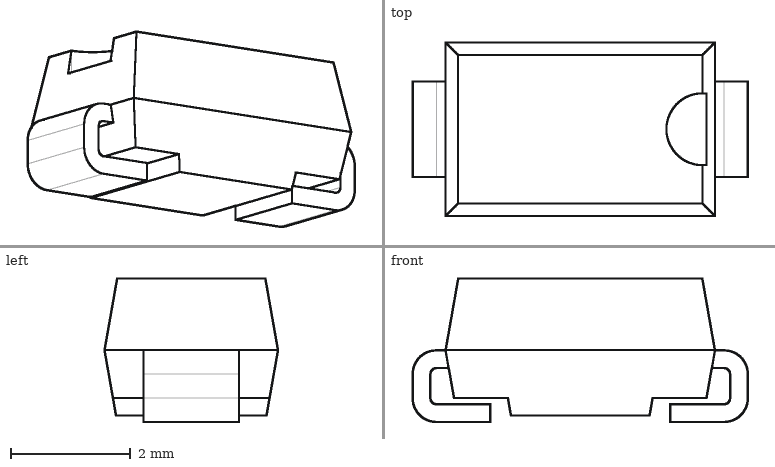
import math
import cadquery as cq

parting_height = 1.2
top_height = 2.4
shoulder_height = 0.4
pedestal_bottom = 0.11
draft_angle = 10.0

body_length = 4.5
body_width = 2.9
pedestal_length = 2.42

lead_span = 5.6
lead_width = 1.6
lead_thickness = 0.3
lead_outer_radius = 0.4
lead_inner_radius = lead_outer_radius - lead_thickness
foot_gap = 3.0
lead_embed = 0.2

notch_radius = 0.6
notch_depth = 0.4

draft_slope = math.tan(math.radians(draft_angle))
top_length = body_length - 2 * (top_height - parting_height) * draft_slope


def tapered_half(end_height):
    """Body half from the parting plane to end_height, narrowing on all sides."""
    height = end_height - parting_height
    inset = 2 * abs(height) * draft_slope
    return (
        cq.Workplane("XY", origin=(0, 0, parting_height))
        .rect(body_length, body_width)
        .workplane(offset=height)
        .rect(body_length - inset, body_width - inset)
        .loft(ruled=True)
    )


def shoulder_cutter(side):
    """Wedge-sided block that removes the body beside the pedestal, under the shoulder."""
    top_x = pedestal_length / 2
    bottom_x = top_x - (shoulder_height - pedestal_bottom) * draft_slope
    outer_x = body_length / 2
    return (
        cq.Workplane("XZ")
        .polyline([
            (side * top_x, shoulder_height),
            (side * outer_x, shoulder_height),
            (side * outer_x, pedestal_bottom),
            (side * bottom_x, pedestal_bottom),
        ])
        .close()
        .extrude(body_width / 2, both=True)
    )


def make_body():
    body = tapered_half(top_height).union(tapered_half(pedestal_bottom))
    for side in (-1, 1):
        body = body.cut(shoulder_cutter(side))
    return body


def make_notch():
    """Pocket in the top face: a half round centred on the +X top edge, open with straight sides to +X."""
    edge_x = top_length / 2
    open_x = body_length / 2
    return (
        cq.Workplane("XY", origin=(0, 0, top_height))
        .moveTo(open_x, notch_radius)
        .lineTo(edge_x, notch_radius)
        .threePointArc((edge_x - notch_radius, 0), (edge_x, -notch_radius))
        .lineTo(open_x, -notch_radius)
        .close()
        .extrude(-notch_depth)
    )


def lead_block(x_min, x_max, z_min, z_max):
    """Block spanning the lead width, between the given X and Z limits."""
    return (
        cq.Workplane("XY", origin=((x_min + x_max) / 2, 0, z_min))
        .rect(x_max - x_min, lead_width)
        .extrude(z_max - z_min)
    )


def make_lead():
    """C-shaped lead on the +X side: upper arm, rounded outer wall and inward foot."""
    outer_x = lead_span / 2
    foot_x = foot_gap / 2
    arm_x = body_length / 2 - lead_embed
    outer = (
        lead_block(foot_x, outer_x, 0, parting_height)
        .edges("|Y and >X")
        .fillet(lead_outer_radius)
    )
    opening = (
        lead_block(
            foot_x - lead_thickness,
            outer_x - lead_thickness,
            lead_thickness,
            parting_height - lead_thickness,
        )
        .edges("|Y and >X")
        .fillet(lead_inner_radius)
    )
    surplus_arm = lead_block(foot_x, arm_x, parting_height - lead_thickness, parting_height)
    return outer.cut(opening).cut(surplus_arm)


lead = make_lead()
result = make_body().cut(make_notch()).union(lead).union(lead.mirror("YZ"))